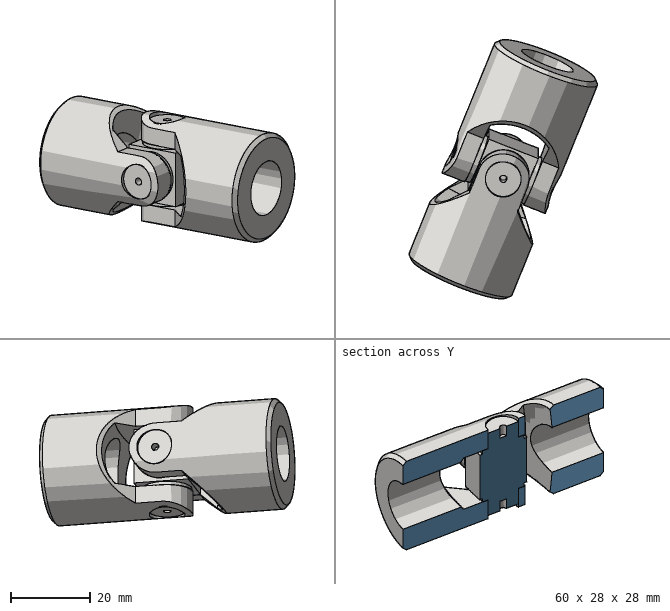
import cadquery as cq

length = 60.0
half_length = length / 2
outer_diameter = 28.0
outer_radius = outer_diameter / 2
end_chamfer = 1.0
bore_diameter = 14.0

ear_radius = 6.55
ear_inner_face = 8.0
taper_start = 15.0
taper_end = 6.65
slot_axis_x = -2.4
slot_rim_radius = 11.35
slot_middle_radius = 12.35

block_x = 14.1
block_y = 13.4
block_z = 14.1
boss_diameter = 12.5
pin_diameter = 9.0
pin_tip = 13.0
center_hole_diameter = 1.8
center_hole_depth = 3.0


def y_cylinder(diameter, half_width):
    """Cylinder along Y, centred on the joint."""
    return cq.Workplane("XZ").circle(diameter / 2).extrude(half_width, both=True)


def make_slot():
    """Slot between the ears of the left yoke, with a slightly barrel-shaped root."""
    barrel = (
        cq.Workplane("XZ", origin=(slot_axis_x, 0, 0))
        .moveTo(0, -outer_radius)
        .lineTo(-slot_rim_radius, -outer_radius)
        .threePointArc((-slot_middle_radius, 0), (-slot_rim_radius, outer_radius))
        .lineTo(0, outer_radius)
        .close()
        .revolve(360, (0, 0), (0, 1))
    )
    barrel_band = cq.Workplane("XY").box(length, 2 * ear_inner_face, outer_diameter)
    ear_gap = (
        cq.Workplane("XY", origin=(slot_axis_x, 0, 0))
        .box(ear_radius - slot_axis_x, 2 * ear_inner_face, outer_diameter, centered=(False, True, True))
    )
    return barrel.intersect(barrel_band).union(ear_gap)


def make_yoke():
    """Left yoke: hub toward -X, ears on the -Y and +Y sides."""
    blank = (
        cq.Workplane("YZ", origin=(-half_length, 0, 0))
        .circle(outer_radius)
        .extrude(half_length + ear_radius)
        .faces("<X").chamfer(end_chamfer)
    )
    outline = (
        cq.Workplane("XZ")
        .moveTo(-half_length, -outer_radius)
        .lineTo(-taper_start, -outer_radius)
        .lineTo(-taper_end, -ear_radius)
        .lineTo(0, -ear_radius)
        .threePointArc((ear_radius, 0), (0, ear_radius))
        .lineTo(-taper_end, ear_radius)
        .lineTo(-taper_start, outer_radius)
        .lineTo(-half_length, outer_radius)
        .close()
        .extrude(outer_radius, both=True)
    )
    bore = (
        cq.Workplane("YZ", origin=(-half_length, 0, 0))
        .circle(bore_diameter / 2)
        .extrude(half_length)
    )
    pin_holes = y_cylinder(pin_diameter, outer_radius)
    return blank.intersect(outline).cut(make_slot()).cut(bore).cut(pin_holes)


def make_trunnion():
    """Stepped shaft along Y: a boss against each ear and a pin inside it."""
    bosses = y_cylinder(boss_diameter, ear_inner_face)
    return bosses.union(y_cylinder(pin_diameter, pin_tip))


def make_center_holes():
    """Blind holes in the two pin ends on the Y axis."""
    drilled = y_cylinder(center_hole_diameter, pin_tip)
    return drilled.cut(y_cylinder(center_hole_diameter, pin_tip - center_hole_depth))


def quarter_turn(body):
    """Turn a body from the Y pin axis to the Z pin axis."""
    return body.rotate((0, 0, 0), (1, 0, 0), 90)


def make_cross():
    """Central block with four pins, each with a small blind hole in its end."""
    block = cq.Workplane("XY").box(block_x, block_y, block_z)
    trunnion = make_trunnion()
    center_holes = make_center_holes()
    solid_cross = block.union(trunnion).union(quarter_turn(trunnion))
    return solid_cross.cut(center_holes).cut(quarter_turn(center_holes))


left_yoke = make_yoke()
right_yoke = quarter_turn(left_yoke.rotate((0, 0, 0), (0, 0, 1), 180))
cross = make_cross()

result = cq.Compound.makeCompound([left_yoke.val(), right_yoke.val(), cross.val()])